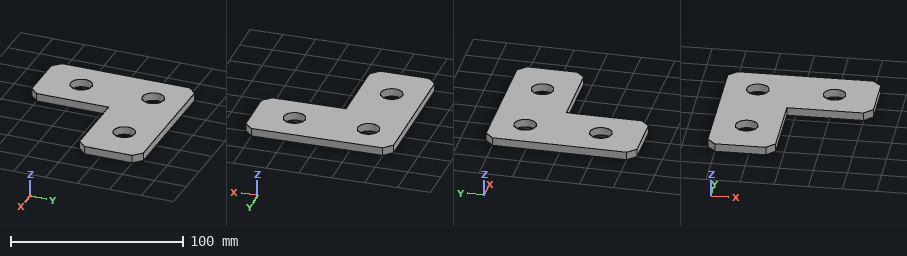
import cadquery as cq

side = 90.0
leg_width = 40.0
thickness = 5.0
corner_chamfer = 5.0
hole_diameter = 13.0
hole_spacing = side / 2

half_side = side / 2
inner_x = -half_side + leg_width
inner_y = half_side - leg_width

corner_hole_x = -half_side + leg_width / 2
corner_hole_y = half_side - leg_width / 2
hole_centers = [
    (corner_hole_x, corner_hole_y),
    (corner_hole_x + hole_spacing, corner_hole_y),
    (corner_hole_x, corner_hole_y - hole_spacing),
]


def make_plate():
    """L-shaped plate with every outer corner chamfered."""
    square = cq.Workplane("XY").rect(side, side).extrude(thickness)
    notch_size = side - leg_width
    notch = (
        cq.Workplane("XY")
        .moveTo(inner_x + notch_size / 2, inner_y - notch_size / 2)
        .rect(notch_size, notch_size)
        .extrude(thickness)
    )
    plate = square.cut(notch)
    inner_corner = cq.NearestToPointSelector((inner_x, inner_y, thickness / 2))
    outer_corners = cq.StringSyntaxSelector("|Z") - inner_corner
    return plate.edges(outer_corners).chamfer(corner_chamfer)


def drill_holes(plate):
    """Through holes at the corner and near the end of each leg."""
    holes = cq.Workplane("XY").pushPoints(hole_centers).circle(hole_diameter / 2).extrude(thickness)
    return plate.cut(holes)


result = drill_holes(make_plate())